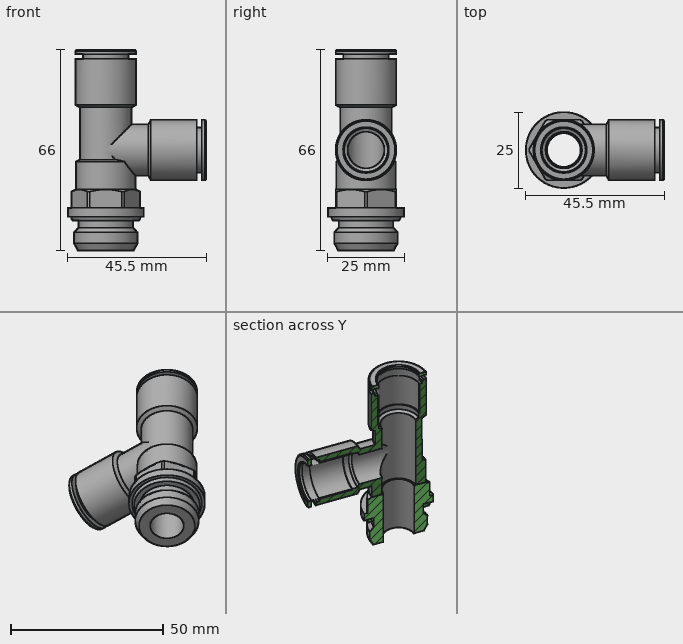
import cadquery as cq
import math

TOTAL_HEIGHT = 66.0
END_REACH = 33.0
CROSSING_Z = TOTAL_HEIGHT - END_REACH

STEM_BORE_D = 11.0
THREAD_D = 20.9
THREAD_TIP_D = 18.35
THREAD_TIP_Z = 2.4
THREAD_TOP_Z = 5.95
NECK_D = 18.0
NECK_BOTTOM_Z = 7.5
FLANGE_D = 25.0
FLANGE_BOTTOM_Z = 11.0
FLANGE_TOP_Z = 14.0
HEX_FLATS = 20.0
HEX_CORNER_D = 22.6
HEX_TOP_Z = 20.1
HEX_CHAMFER_HEIGHT = 0.8

SEAL_TOP_D = 22.9
SEAL_BOTTOM_D = 21.65
SEAL_HEIGHT = 1.2
SEAL_BULGE = 0.1

SLEEVE_D = 19.6
SLEEVE_TOP_Z = 29.9
SLEEVE_CHAMFER_HEIGHT = 0.65
TUBE_D = 17.0
SOCKET_D = 20.0
SOCKET_REACH = 29.95
SOCKET_SHOULDER = 14.85
SOCKET_CHAMFER_LENGTH = 0.85
MOUTH_RELIEF_D = 17.0
MOUTH_RELIEF_DEPTH = 1.3
MOUTH_RELIEF_CHAMFER = 0.5
TEE_BORE_D = 12.0
TAPER_LENGTH = 0.6
TAPER_START = 14.85

COLLAR_BORE_D = 14.3
COLLAR_NECK_D = 15.0
COLLAR_MOUTH_D = 15.1
COLLAR_FLANGE_D = SOCKET_D
COLLAR_FLANGE_INNER = 31.5
COLLAR_EDGE_CHAMFER = 0.45
COLLAR_INSERTION = 13.2


def revolve_profile(points):
    """Turn a closed (radius, height) profile about the Z axis."""
    return cq.Workplane("XZ").polyline(points).close().revolve(360, (0, 0, 0), (0, 1, 0))


def place_on_run(shape):
    """Move a port built at the origin along +Z onto the top of the run."""
    return shape.translate((0, 0, CROSSING_Z))


def place_on_branch(shape):
    """Turn a port built at the origin along +Z onto the +X branch."""
    return shape.rotate((0, 0, 0), (0, 1, 0), 90).translate((0, 0, CROSSING_Z))


PORT_PLACEMENTS = (place_on_run, place_on_branch)


def make_hexagon():
    """Hexagon with corners on the X axis, trimmed and chamfered by turning."""
    height = HEX_TOP_Z - FLANGE_TOP_Z
    corner_to_corner = HEX_FLATS / math.cos(math.pi / 6)
    prism = cq.Workplane("XY").polygon(6, corner_to_corner).extrude(height)
    turned_blank = revolve_profile([
        (0, 0),
        (HEX_CORNER_D / 2, 0),
        (HEX_CORNER_D / 2, height - HEX_CHAMFER_HEIGHT),
        (SLEEVE_D / 2, height),
        (0, height),
    ])
    return prism.intersect(turned_blank).translate((0, 0, FLANGE_TOP_Z))


def make_stem():
    """Threaded end, sealing flange and hexagon with a straight bore."""
    turned = revolve_profile([
        (0, 0),
        (THREAD_TIP_D / 2, 0),
        (THREAD_D / 2, THREAD_TIP_Z),
        (THREAD_D / 2, THREAD_TOP_Z),
        (NECK_D / 2, NECK_BOTTOM_Z),
        (NECK_D / 2, FLANGE_BOTTOM_Z),
        (FLANGE_D / 2, FLANGE_BOTTOM_Z),
        (FLANGE_D / 2, FLANGE_TOP_Z),
        (0, FLANGE_TOP_Z),
    ])
    bore = cq.Workplane("XY").circle(STEM_BORE_D / 2).extrude(HEX_TOP_Z)
    return turned.union(make_hexagon()).cut(bore)


def make_seal_ring():
    """Ring around the neck, against the flange, with a rounded rim that narrows downwards."""
    seal_bottom_z = FLANGE_BOTTOM_Z - SEAL_HEIGHT
    rim_middle = (
        (SEAL_TOP_D + SEAL_BOTTOM_D) / 4 + SEAL_BULGE,
        (FLANGE_BOTTOM_Z + seal_bottom_z) / 2,
    )
    return (
        cq.Workplane("XZ")
        .moveTo(NECK_D / 2, FLANGE_BOTTOM_Z)
        .lineTo(SEAL_TOP_D / 2, FLANGE_BOTTOM_Z)
        .threePointArc(rim_middle, (SEAL_BOTTOM_D / 2, seal_bottom_z))
        .lineTo(NECK_D / 2, seal_bottom_z)
        .close()
        .revolve(360, (0, 0, 0), (0, 1, 0))
    )


def make_sleeve():
    """Lower sleeve of the tee, standing on the hexagon."""
    return revolve_profile([
        (0, HEX_TOP_Z),
        (SLEEVE_D / 2, HEX_TOP_Z),
        (SLEEVE_D / 2, SLEEVE_TOP_Z - SLEEVE_CHAMFER_HEIGHT),
        (TUBE_D / 2, SLEEVE_TOP_Z),
        (0, SLEEVE_TOP_Z),
    ])


def make_port_outside():
    """Tube and socket of one port, from the axis crossing along +Z."""
    chamfer_start = SOCKET_SHOULDER - SOCKET_CHAMFER_LENGTH
    return revolve_profile([
        (0, 0),
        (TUBE_D / 2, 0),
        (TUBE_D / 2, chamfer_start),
        (SOCKET_D / 2, SOCKET_SHOULDER),
        (SOCKET_D / 2, SOCKET_REACH),
        (0, SOCKET_REACH),
    ])


def make_port_cavity():
    """Bore, conical seat, collar recess and mouth relief of one port, along +Z."""
    recess_floor = SOCKET_REACH - COLLAR_INSERTION
    relief_floor = SOCKET_REACH - MOUTH_RELIEF_DEPTH
    return revolve_profile([
        (0, 0),
        (TEE_BORE_D / 2, 0),
        (TEE_BORE_D / 2, TAPER_START - TAPER_LENGTH),
        (COLLAR_BORE_D / 2, TAPER_START),
        (COLLAR_BORE_D / 2, recess_floor),
        (COLLAR_NECK_D / 2, recess_floor),
        (COLLAR_NECK_D / 2, relief_floor),
        (MOUTH_RELIEF_D / 2, relief_floor),
        (MOUTH_RELIEF_D / 2, SOCKET_REACH - MOUTH_RELIEF_CHAMFER),
        (MOUTH_RELIEF_D / 2 + MOUTH_RELIEF_CHAMFER, SOCKET_REACH),
        (0, SOCKET_REACH),
    ])


def make_tee():
    """Hollow tee: sleeve, vertical run and side branch in one solid."""
    run_core_height = CROSSING_Z - HEX_TOP_Z
    run_core = cq.Workplane("XY").workplane(offset=HEX_TOP_Z)
    tee = make_sleeve().union(run_core.circle(TUBE_D / 2).extrude(run_core_height))
    for place in PORT_PLACEMENTS:
        tee = tee.union(place(make_port_outside()))
    for place in PORT_PLACEMENTS:
        tee = tee.cut(place(make_port_cavity()))
    return tee.cut(run_core.circle(TEE_BORE_D / 2).extrude(run_core_height))


def make_collar():
    """Flanged release collar with a chamfered mouth, along +Z."""
    mouth_chamfer = (COLLAR_MOUTH_D - COLLAR_BORE_D) / 2
    neck_start = SOCKET_REACH - COLLAR_INSERTION
    return revolve_profile([
        (COLLAR_BORE_D / 2, neck_start),
        (COLLAR_NECK_D / 2, neck_start),
        (COLLAR_NECK_D / 2, COLLAR_FLANGE_INNER),
        (COLLAR_FLANGE_D / 2, COLLAR_FLANGE_INNER),
        (COLLAR_FLANGE_D / 2, END_REACH - COLLAR_EDGE_CHAMFER),
        (COLLAR_FLANGE_D / 2 - COLLAR_EDGE_CHAMFER, END_REACH),
        (COLLAR_MOUTH_D / 2, END_REACH),
        (COLLAR_BORE_D / 2, END_REACH - mouth_chamfer),
    ])


stem = make_stem()
seal_ring = make_seal_ring()
tee = make_tee()
collars = [place(make_collar()) for place in PORT_PLACEMENTS]

result = cq.Compound.makeCompound([
    stem.solids().val(),
    seal_ring.solids().val(),
    tee.solids().val(),
    *[collar.solids().val() for collar in collars],
])